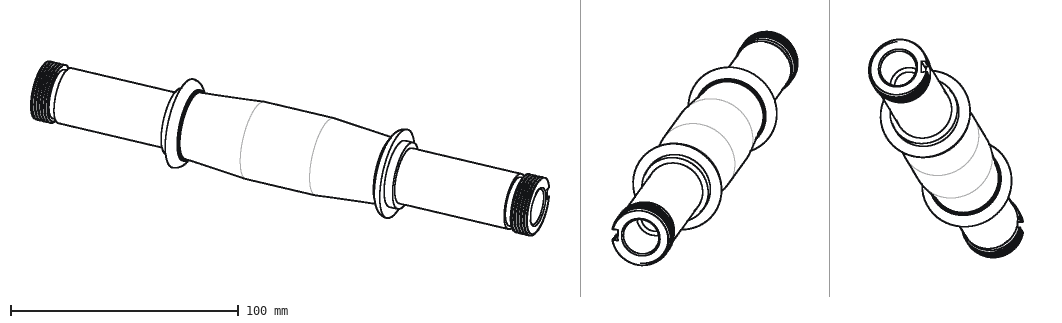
import cadquery as cq
import math

total_length = 236.0
end_x = total_length / 2
thread_length = 8.0
thread_start_x = end_x - thread_length
relief_width = 3.0
tube_end_x = thread_start_x - relief_width
collar_x = 55.0
flange_x = 51.0
flange_round = 4.0
flange_inner_x = flange_x - flange_round

flange_radius = 20.0
grip_radius = 17.5
grip_end_radius = 15.0
collar_radius = 15.0
tube_radius = 12.5
relief_radius = 11.0

foot_radius = flange_radius - flange_round
foot_width = 0.9
foot_chamfer = 0.45
grip_end_x = flange_inner_x - foot_width

grip_straight_x = 16.5

bore_radius = 6.0
counterbore_radius = 8.0
counterbore_depth = 25.0
mouth_chamfer = 0.7

thread_radius = 13.2
thread_pitch = 1.5
thread_depth = 0.92
thread_root_radius = thread_radius - thread_depth
thread_half_angle = math.radians(30)
crest_width = thread_pitch / 8
ridge_embed = 0.1
thread_start_angle = 40.0

slot_width = 5.0
slot_floor_radius = 10.4


def revolve_about_x(profile):
    """Turn a closed XZ profile into a solid of revolution about the X axis."""
    return profile.close().revolve(360, (0, 0, 0), (1, 0, 0))


def grip():
    """Barrel between the two flanges: a cylinder with a long cone at each end."""
    profile = (
        cq.Workplane("XZ")
        .moveTo(-grip_end_x, 0)
        .lineTo(-grip_end_x, grip_end_radius)
        .lineTo(-grip_straight_x, grip_radius)
        .lineTo(grip_straight_x, grip_radius)
        .lineTo(grip_end_x, grip_end_radius)
        .lineTo(grip_end_x, 0)
    )
    return revolve_about_x(profile)


def arm():
    """+X arm: flange foot, rounded flange, collar, tube and relief groove."""
    arc_middle = flange_round * math.sqrt(0.5)
    profile = (
        cq.Workplane("XZ")
        .moveTo(grip_end_x, 0)
        .lineTo(grip_end_x, foot_radius - foot_chamfer)
        .lineTo(grip_end_x + foot_chamfer, foot_radius)
        .lineTo(flange_inner_x, foot_radius)
        .threePointArc(
            (flange_x - arc_middle, foot_radius + arc_middle),
            (flange_x, flange_radius),
        )
        .lineTo(flange_x, collar_radius)
        .lineTo(collar_x, collar_radius)
        .lineTo(collar_x, tube_radius)
        .lineTo(tube_end_x, tube_radius)
        .lineTo(tube_end_x, relief_radius)
        .lineTo(thread_start_x, relief_radius)
        .lineTo(thread_start_x, 0)
    )
    return revolve_about_x(profile)


def end_cylinder(radius):
    """Solid cylinder over the length of the threaded ring at the +X end."""
    return cq.Workplane("YZ", origin=(thread_start_x, 0, 0)).circle(radius).extrude(thread_length)


def threaded_ring():
    """Threaded ring of the +X end: a root cylinder carrying a helical ridge."""
    base_radius = thread_root_radius - ridge_embed
    base_half_width = crest_width / 2 + (thread_radius - base_radius) * math.tan(thread_half_angle)
    run = thread_length + 2 * thread_pitch
    helix = cq.Wire.makeHelix(thread_pitch, run, base_radius)
    ridge = (
        cq.Workplane("XZ")
        .moveTo(base_radius, -base_half_width)
        .lineTo(thread_radius, -crest_width / 2)
        .lineTo(thread_radius, crest_width / 2)
        .lineTo(base_radius, base_half_width)
        .close()
        .sweep(cq.Workplane(obj=helix), isFrenet=True)
        .rotate((0, 0, 0), (0, 1, 0), 90)
        .rotate((0, 0, 0), (1, 0, 0), thread_start_angle)
        .translate((thread_start_x - thread_pitch, 0, 0))
    )
    trimmed_ridge = ridge.intersect(end_cylinder(flange_radius))
    return end_cylinder(thread_root_radius).union(trimmed_ridge)


def through_bore():
    """Stepped bore along the whole part, with chamfered mouths."""
    counterbore_x = end_x - counterbore_depth
    mouth_x = end_x - mouth_chamfer
    mouth_radius = counterbore_radius + mouth_chamfer
    profile = (
        cq.Workplane("XZ")
        .moveTo(-end_x, 0)
        .lineTo(-end_x, mouth_radius)
        .lineTo(-mouth_x, counterbore_radius)
        .lineTo(-counterbore_x, counterbore_radius)
        .lineTo(-counterbore_x, bore_radius)
        .lineTo(counterbore_x, bore_radius)
        .lineTo(counterbore_x, counterbore_radius)
        .lineTo(mouth_x, counterbore_radius)
        .lineTo(end_x, mouth_radius)
        .lineTo(end_x, 0)
    )
    return revolve_about_x(profile)


def key_slot():
    """Cutter for the +Y key slot, from the +X end face to the end of the tube."""
    return cq.Workplane("XY", origin=(tube_end_x, slot_floor_radius, 0)).box(
        end_x - tube_end_x,
        flange_radius - slot_floor_radius,
        slot_width,
        centered=(False, False, True),
    )


right_arm = arm().union(threaded_ring()).cut(key_slot())
left_arm = right_arm.rotate((0, 0, 0), (0, 1, 0), 180)
result = grip().union(right_arm).union(left_arm).cut(through_bore())